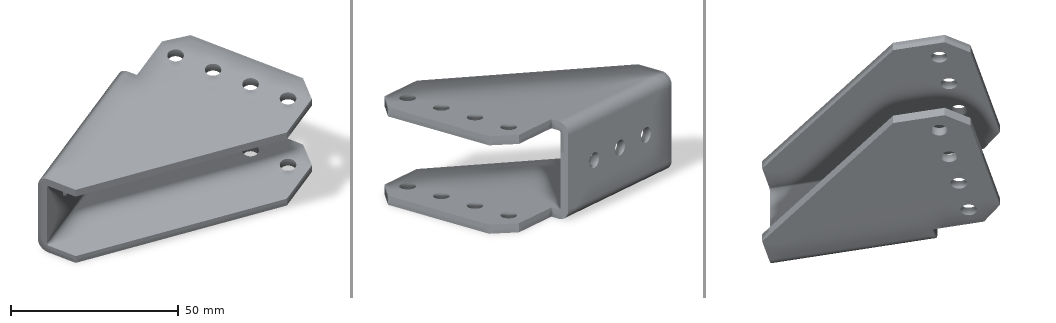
import cadquery as cq

pitch = 12.7
width = 57.2
length = 73.0
height = 31.4
thickness = 2.9
outer_bend_radius = 3.6
hole_diameter = 5.0
hole_end_distance = 9.6
flange_hole_count = 4
web_hole_count = 3

half_pitch = pitch / 2
web_length = 4 * pitch
inner_bend_radius = outer_bend_radius - thickness
flange_hole_y = length - hole_end_distance
tab_left = half_pitch
corner_cut = half_pitch


def bent_channel():
    """U-shaped sheet, open toward +X, running the full length in Y."""
    outer = (
        cq.Workplane("XY")
        .box(width, length, height, centered=(False, False, True))
        .edges("|Y and <X")
        .fillet(outer_bend_radius)
    )
    inner = (
        cq.Workplane("XY")
        .box(width, length, height - 2 * thickness, centered=(False, False, True))
        .translate((thickness, 0, 0))
        .edges("|Y and <X")
        .fillet(inner_bend_radius)
    )
    return outer.cut(inner)


def flange_outline():
    """Prism of the flange shape: tapered side, narrowed tab and cut corners."""
    points = [
        (0, 0),
        (pitch, 0),
        (width, web_length),
        (width, length - corner_cut),
        (width - corner_cut, length),
        (tab_left + corner_cut, length),
        (tab_left, length - corner_cut),
        (tab_left, web_length),
        (0, web_length),
    ]
    return cq.Workplane("XY").polyline(points).close().extrude(height / 2, both=True)


def flange_holes():
    """Row of holes through both flanges."""
    centers = [((i + 1) * pitch, flange_hole_y) for i in range(flange_hole_count)]
    return (
        cq.Workplane("XY")
        .pushPoints(centers)
        .circle(hole_diameter / 2)
        .extrude(height / 2, both=True)
    )


def web_holes():
    """Row of holes through the web, at mid height."""
    centers = [((i + 1) * pitch, 0) for i in range(web_hole_count)]
    return (
        cq.Workplane("YZ")
        .pushPoints(centers)
        .circle(hole_diameter / 2)
        .extrude(outer_bend_radius)
    )


result = bent_channel().intersect(flange_outline()).cut(flange_holes()).cut(web_holes())